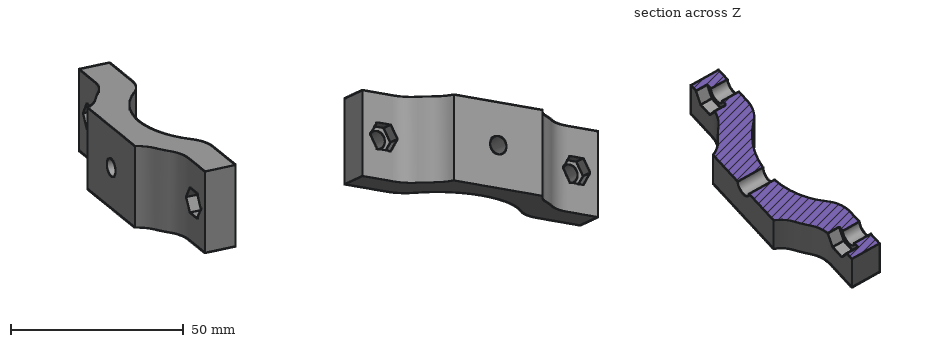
import cadquery as cq
import math

length = 80.0
depth = 20.0
height = 26.0
ear_thickness = 10.0

saddle_diameter = 50.0
saddle_radius = saddle_diameter / 2
axis_y = 34.0
saddle_floor_y = axis_y - saddle_radius
wall = 10.0
outer_radius = saddle_radius + wall

blend_radius = 10.0
neck_half_width = 14.3

hole_diameter = 5.5
bolt_x = 32.7
nut_across_flats = 8.0
nut_pocket_depth = 4.0


def ear_blend_center(arc_radius, face_y):
    """Center (left side) of a blend below an ear face, touching a saddle arc."""
    center_y = face_y - blend_radius
    center_x = -math.sqrt((arc_radius + blend_radius) ** 2 - (axis_y - center_y) ** 2)
    return center_x, center_y


def contact_point(arc_radius, center):
    """Point where a blend meets a saddle arc, on the line joining both centers."""
    share = arc_radius / (arc_radius + blend_radius)
    return center[0] * share, axis_y + (center[1] - axis_y) * share


def arc_middle(center, start, end):
    """Middle of the short blend arc between two points."""
    dx = (start[0] + end[0]) / 2 - center[0]
    dy = (start[1] + end[1]) / 2 - center[1]
    scale = blend_radius / math.hypot(dx, dy)
    return center[0] + dx * scale, center[1] + dy * scale


def saddle_half():
    """Left half of the body, closed along the plane of symmetry."""
    lower_center = ear_blend_center(outer_radius, ear_thickness)
    lower_start = (lower_center[0], ear_thickness)
    lower_end = contact_point(outer_radius, lower_center)

    foot_center_x = -neck_half_width - blend_radius
    foot_center_y = axis_y - math.sqrt((outer_radius + blend_radius) ** 2 - foot_center_x**2)
    foot_center = (foot_center_x, foot_center_y)
    foot_start = contact_point(outer_radius, foot_center)
    foot_end = (foot_center_x + math.sqrt(blend_radius**2 - foot_center_y**2), 0)

    outer_mid_x = (lower_end[0] + foot_start[0]) / 2
    outer_mid = (outer_mid_x, axis_y - math.sqrt(outer_radius**2 - outer_mid_x**2))

    upper_center = ear_blend_center(saddle_radius, depth)
    upper_start = contact_point(saddle_radius, upper_center)
    upper_end = (upper_center[0], depth)

    inner_mid_x = upper_start[0] / 2
    inner_mid = (inner_mid_x, axis_y - math.sqrt(saddle_radius**2 - inner_mid_x**2))

    return (
        cq.Workplane("XY")
        .moveTo(-length / 2, depth)
        .lineTo(-length / 2, ear_thickness)
        .lineTo(*lower_start)
        .threePointArc(arc_middle(lower_center, lower_start, lower_end), lower_end)
        .threePointArc(outer_mid, foot_start)
        .threePointArc(arc_middle(foot_center, foot_start, foot_end), foot_end)
        .lineTo(0, 0)
        .lineTo(0, saddle_floor_y)
        .threePointArc(inner_mid, upper_start)
        .threePointArc(arc_middle(upper_center, upper_start, upper_end), upper_end)
        .close()
        .extrude(height)
    )


def bolt_holes():
    """Three through holes along Y at mid height."""
    centers = [(x, height / 2) for x in (-bolt_x, 0, bolt_x)]
    return cq.Workplane("XZ").pushPoints(centers).circle(hole_diameter / 2).extrude(-depth)


def nut_pockets():
    """Hexagonal pockets sunk into the front faces of the ears."""
    across_corners = nut_across_flats / math.cos(math.pi / 6)
    centers = [(x, height / 2) for x in (-bolt_x, bolt_x)]
    return (
        cq.Workplane("XZ")
        .pushPoints(centers)
        .polygon(6, across_corners)
        .extrude(-(ear_thickness + nut_pocket_depth))
    )


left_half = saddle_half()
body = left_half.union(left_half.mirror("YZ")).clean()
result = body.cut(bolt_holes()).cut(nut_pockets())